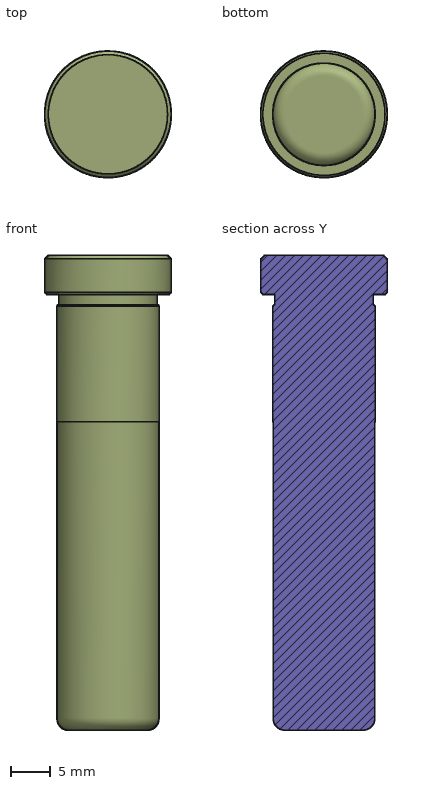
import cadquery as cq

length = 60.0
head_diameter = 16.0
head_height = 5.0
head_top_chamfer = 0.5
head_underside_chamfer = 0.3

shank_diameter = 12.95
guide_diameter = 12.9
shoulder_length = 21.0
tip_radius = 1.5

groove_diameter = 12.5
groove_width = 1.25
shoulder_chamfer = 0.2

shank_top = length - head_height
guide_top = length - shoulder_length


def cylinder(diameter, bottom, top):
    """Solid cylinder on the Z axis between two heights."""
    return cq.Workplane("XY").workplane(offset=bottom).circle(diameter / 2).extrude(top - bottom)


head = cylinder(head_diameter, shank_top, length)
head = head.faces(">Z").edges().chamfer(head_top_chamfer)
head = head.faces("<Z").edges().chamfer(head_underside_chamfer)

guide = cylinder(guide_diameter, 0, guide_top).faces("<Z").edges().fillet(tip_radius)

shoulder = cylinder(shank_diameter, guide_top, shank_top - groove_width)
shoulder = shoulder.faces(">Z").edges().chamfer(shoulder_chamfer)
neck = cylinder(groove_diameter, shank_top - groove_width, shank_top)

result = guide.union(shoulder).union(neck).union(head)